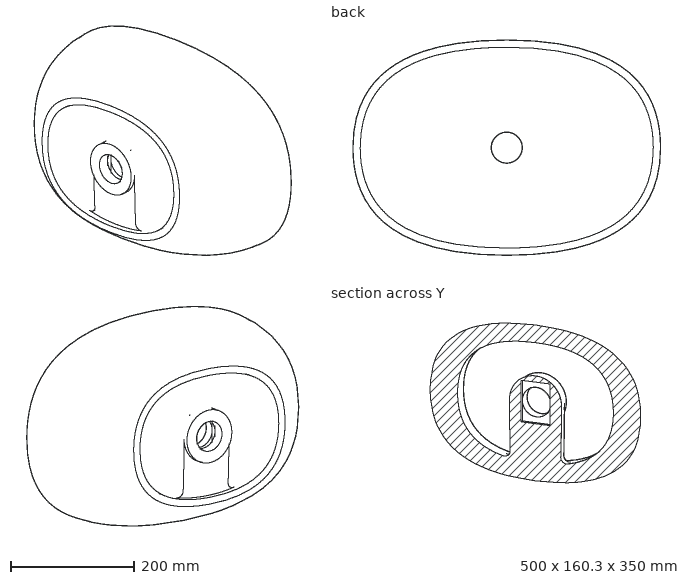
import cadquery as cq
import math

HEIGHT = 160.33
RIM_HALF_X = 250.0
RIM_HALF_Z = 175.0
FOOT_HALF_X = 150.0
FOOT_HALF_Z = 114.5
ROUNDNESS = 0.664
SECTION_COUNT = 9

WALL = 12.0
BOWL_FLOOR_Y = 45.0
BOWL_FLOOR_BLEND = 30.0

FOOT_RING_X = 12.5
FOOT_RING_Z = 11.5
RECESS_FLOOR_Y = 27.6
FLOOR_CURVE_RADIUS = 1600.0
BLEND_RADIUS = 10.0

HUB_RADIUS = 44.5
STRIP_HEIGHT = 20.0
DRAIN_RADIUS = 25.0
SLOT_Y = 20.0
SLOT_HEIGHT = 8.0
SLOT_LENGTH = 70.0


def outline(half_x, half_z, y):
    """Closed oval made of four Bezier quadrants, square to the Y axis."""
    quadrants = []
    for x, z, along_x in [
        (half_x, half_z, False),
        (-half_x, half_z, True),
        (-half_x, -half_z, False),
        (half_x, -half_z, True),
    ]:
        points = [
            cq.Vector(x, y, 0),
            cq.Vector(x, y, ROUNDNESS * z),
            cq.Vector(ROUNDNESS * x, y, z),
            cq.Vector(0, y, z),
        ]
        if along_x:
            points.reverse()
        quadrants.append(cq.Edge.makeBezier(points))
    return cq.Wire.assembleEdges(quadrants)


def arc_radius(inset):
    """Radius of a side arc that leaves the rim upright and comes in by `inset` at the foot."""
    return (HEIGHT**2 + inset**2) / (2 * inset)


def side_arc(half_size, radius, depth):
    """Half size at `depth` below the rim."""
    return half_size - radius + math.sqrt(radius**2 - depth**2)


def bowl(lowest_y, wall):
    """Solid bowl from `lowest_y` to the rim, its sides set in by `wall` from the outer surface."""
    radius_x = arc_radius(RIM_HALF_X - FOOT_HALF_X) - wall
    radius_z = arc_radius(RIM_HALF_Z - FOOT_HALF_Z) - wall
    sections = []
    for i in range(SECTION_COUNT):
        depth = (HEIGHT - lowest_y) * i / (SECTION_COUNT - 1)
        half_x = side_arc(RIM_HALF_X - wall, radius_x, depth)
        half_z = side_arc(RIM_HALF_Z - wall, radius_z, depth)
        sections.append(outline(half_x, half_z, HEIGHT - depth))
    return cq.Workplane(cq.Solid.makeLoft(sections))


def along_y(radius, length):
    """Cylinder on the drain axis, rising from the foot plane."""
    return cq.Workplane("XZ").circle(radius).extrude(-length)


def ball(radius):
    """Sphere with its pole on the drain axis, concentric with the curved recess floor."""
    center = cq.Vector(0, RECESS_FLOOR_Y + FLOOR_CURVE_RADIUS, 0)
    sphere = cq.Solid.makeSphere(radius, center, cq.Vector(0, 1, 0), -90, 90, 360)
    return cq.Workplane(sphere)


def recess():
    """Volume removed under the bowl, inside the foot ring and around the hub and strip."""
    wire = outline(FOOT_HALF_X - FOOT_RING_X, FOOT_HALF_Z - FOOT_RING_Z, 0)
    pocket = cq.Workplane(cq.Solid.extrudeLinear(wire, [], cq.Vector(0, BOWL_FLOOR_Y, 0)))
    hub = along_y(HUB_RADIUS, BOWL_FLOOR_Y)
    strip = cq.Workplane("XY").rect(2 * HUB_RADIUS, 2 * BOWL_FLOOR_Y).extrude(-FOOT_HALF_Z)
    strip = strip.intersect(ball(FLOOR_CURVE_RADIUS + STRIP_HEIGHT))
    pocket = pocket.cut(ball(FLOOR_CURVE_RADIUS)).cut(strip).cut(hub)
    strip_corners = cq.selectors.BoxSelector(
        (-FOOT_HALF_X, RECESS_FLOOR_Y - STRIP_HEIGHT / 2, -FOOT_HALF_Z),
        (FOOT_HALF_X, RECESS_FLOOR_Y, -2 * HUB_RADIUS),
    )
    floor_border = cq.selectors.BoxSelector(
        (-FOOT_HALF_X, RECESS_FLOOR_Y, -FOOT_HALF_Z),
        (FOOT_HALF_X, BOWL_FLOOR_Y, FOOT_HALF_Z),
    )
    pocket = pocket.edges(strip_corners).fillet(BLEND_RADIUS)
    return pocket.edges(floor_border).fillet(BLEND_RADIUS)


def basin():
    """Open inside of the bowl, with a rounded floor border."""
    return bowl(BOWL_FLOOR_Y, WALL).faces("<Y").edges().fillet(BOWL_FLOOR_BLEND)


def drain():
    """Through hole, widened along Z by an overflow slot inside the hub."""
    slot_size = (2 * DRAIN_RADIUS, SLOT_HEIGHT, SLOT_LENGTH)
    slot = cq.Workplane("XY").box(*slot_size, centered=(True, False, True))
    return along_y(DRAIN_RADIUS, HEIGHT).union(slot.translate((0, SLOT_Y, 0)))


result = bowl(0, 0).cut(basin()).cut(recess()).cut(drain())